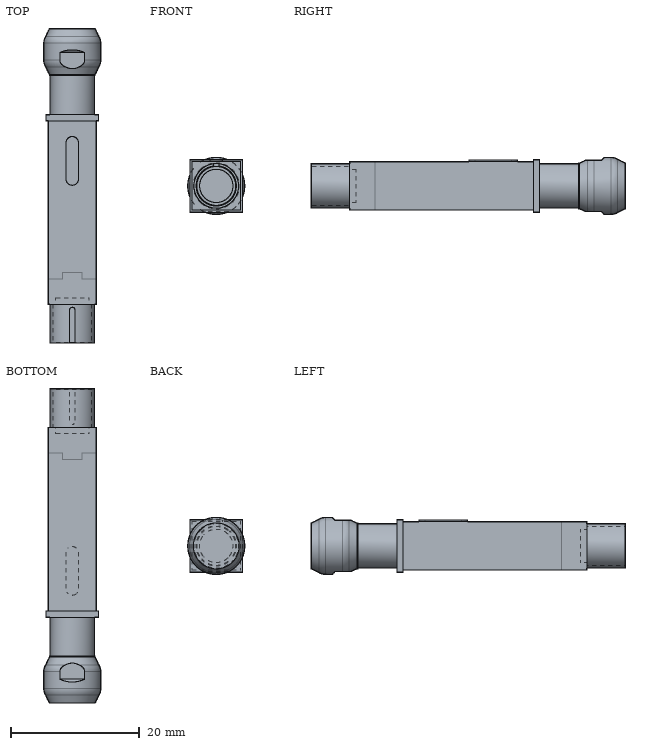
import cadquery as cq
import math

TOTAL_LENGTH = 48.9
BACK_Y = TOTAL_LENGTH / 2
FRONT_Y = -BACK_Y

KNOB_RADIUS = 4.45
KNOB_LENGTH = 7.15
KNOB_END_RADIUS = 3.55
KNOB_CONE_LENGTH = 1.2
KNOB_ROUND_LENGTH = 1.05
KNOB_CONE_RADIUS = 4.15
KNOB_LAND_LENGTH = 0.15
FLAT_HEIGHT = 4.0
FLAT_START = 3.7

NECK_RADIUS = 3.45
NECK_LENGTH = 6.05
FLANGE_WIDTH = 8.2
FLANGE_THICKNESS = 1.0
FLANGE_BACK_Y = BACK_Y - KNOB_LENGTH - KNOB_LAND_LENGTH - NECK_LENGTH
FLANGE_FRONT_Y = FLANGE_BACK_Y - FLANGE_THICKNESS

BODY_WIDTH = 7.55
CAP_LENGTH = 3.95
TAB_WIDTH = 3.1
TAB_LENGTH = 1.05
PAD_WIDTH = 1.95
PAD_LENGTH = 7.6
PAD_HEIGHT = 0.3
PAD_SETBACK = 2.45

SLEEVE_LENGTH = 6.0
SLEEVE_RADIUS = 3.45
BORE_RADIUS = 3.05
BORE_CHAMFER = 0.1
INNER_BORE_RADIUS = 2.6
INNER_BORE_DEPTH = 1.0
SLIT_WIDTH = 0.85
SLIT_LENGTH = 5.57

CAP_FRONT_Y = FRONT_Y + SLEEVE_LENGTH
CAP_BACK_Y = CAP_FRONT_Y + CAP_LENGTH


def square_block(width, y_front, y_back):
    """Square bar on the Y axis between two Y positions."""
    block = cq.Workplane("XY").box(width, y_back - y_front, width)
    return block.translate((0, (y_front + y_back) / 2, 0))


def round_bar(radius, y_front, y_back):
    """Round bar on the Y axis between two Y positions."""
    return cq.Workplane("XZ", origin=(0, y_back, 0)).circle(radius).extrude(y_back - y_front)


def knob():
    """Turned knob with coned ends, rounded shoulders, two flats and a short land next to the neck."""
    front_y = BACK_Y - KNOB_LENGTH
    shoulder = KNOB_CONE_LENGTH + KNOB_ROUND_LENGTH
    drop = KNOB_RADIUS - KNOB_CONE_RADIUS
    arc_radius = (KNOB_ROUND_LENGTH ** 2 + drop ** 2) / (2 * drop)
    half_angle = math.asin(KNOB_ROUND_LENGTH / arc_radius) / 2
    mid_radius = KNOB_RADIUS - arc_radius * (1 - math.cos(half_angle))
    mid_offset = shoulder - arc_radius * math.sin(half_angle)

    body = (
        cq.Workplane("XY")
        .moveTo(0, front_y - KNOB_LAND_LENGTH)
        .lineTo(KNOB_END_RADIUS, front_y - KNOB_LAND_LENGTH)
        .lineTo(KNOB_END_RADIUS, front_y)
        .lineTo(KNOB_CONE_RADIUS, front_y + KNOB_CONE_LENGTH)
        .threePointArc((mid_radius, front_y + mid_offset), (KNOB_RADIUS, front_y + shoulder))
        .lineTo(KNOB_RADIUS, BACK_Y - shoulder)
        .threePointArc((mid_radius, BACK_Y - mid_offset), (KNOB_CONE_RADIUS, BACK_Y - KNOB_CONE_LENGTH))
        .lineTo(KNOB_END_RADIUS, BACK_Y)
        .lineTo(0, BACK_Y)
        .close()
        .revolve(360, (0, 0, 0), (0, 1, 0))
    )

    cut_rise = KNOB_RADIUS - FLAT_HEIGHT
    flat_back_y = BACK_Y - FLAT_START
    flat_cut = (
        cq.Workplane("YZ")
        .moveTo(front_y, FLAT_HEIGHT)
        .lineTo(flat_back_y, FLAT_HEIGHT)
        .lineTo(flat_back_y + cut_rise, FLAT_HEIGHT + cut_rise)
        .lineTo(front_y, FLAT_HEIGHT + cut_rise)
        .close()
        .extrude(KNOB_RADIUS, both=True)
    )
    return body.cut(flat_cut).cut(flat_cut.mirror("XY"))


def pad():
    """Round-ended pad raised on the top face of the body."""
    center_y = FLANGE_FRONT_Y - PAD_SETBACK - PAD_LENGTH / 2
    return (
        cq.Workplane("XY", origin=(0, center_y, BODY_WIDTH / 2))
        .slot2D(PAD_LENGTH, PAD_WIDTH, 90)
        .extrude(PAD_HEIGHT)
    )


def end_cap():
    """Square cap whose tab keys into the body."""
    tab = cq.Workplane("XY").box(TAB_WIDTH, TAB_LENGTH, BODY_WIDTH)
    tab = tab.translate((0, CAP_BACK_Y + TAB_LENGTH / 2, 0))
    return square_block(BODY_WIDTH, CAP_FRONT_Y, CAP_BACK_Y).union(tab)


def sleeve_bores():
    """Main bore with a chamfered mouth and a narrower bore behind it."""
    mouth = (
        cq.Workplane("XY")
        .moveTo(0, FRONT_Y)
        .lineTo(BORE_RADIUS + BORE_CHAMFER, FRONT_Y)
        .lineTo(BORE_RADIUS, FRONT_Y + BORE_CHAMFER)
        .lineTo(0, FRONT_Y + BORE_CHAMFER)
        .close()
        .revolve(360, (0, 0, 0), (0, 1, 0))
    )
    main_bore = round_bar(BORE_RADIUS, FRONT_Y, CAP_FRONT_Y)
    inner_bore = round_bar(INNER_BORE_RADIUS, FRONT_Y, CAP_FRONT_Y + INNER_BORE_DEPTH)
    return main_bore.union(mouth).union(inner_bore)


def slit():
    """Round-ended slit through the top wall of the sleeve, open at the front."""
    return (
        cq.Workplane("XY", origin=(0, FRONT_Y, 0))
        .slot2D(2 * SLIT_LENGTH, SLIT_WIDTH, 90)
        .extrude(SLEEVE_RADIUS)
    )


cap = end_cap()
sleeve = round_bar(SLEEVE_RADIUS, FRONT_Y, CAP_FRONT_Y)
front_end = cap.union(sleeve).cut(sleeve_bores()).cut(slit())

neck = round_bar(NECK_RADIUS, FLANGE_BACK_Y, BACK_Y - KNOB_LENGTH)
flange = square_block(FLANGE_WIDTH, FLANGE_FRONT_Y, FLANGE_BACK_Y)
body = square_block(BODY_WIDTH, CAP_BACK_Y, FLANGE_FRONT_Y).cut(cap)
back_end = knob().union(neck).union(flange).union(body).union(pad())

result = back_end.union(front_end, clean=False)